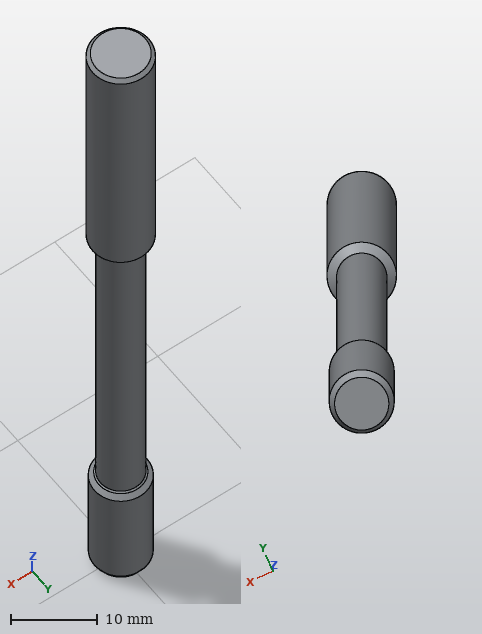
import cadquery as cq
import math

TOTAL_LENGTH = 100.0

SHANK_DIAMETER = 8.0
SHANK_BOTTOM = 63.97
SHANK_TOP_CHAMFER = 0.5
SHOULDER_HEIGHT = 0.82

NECK_DIAMETER = 5.8
NECK_FOOT_HEIGHT = 0.19

HEAD_DIAMETER = 7.5
HEAD_LENGTH = 16.64
HEAD_END_DIAMETER = 6.24
HEAD_TIP_ANGLE = 30.0

shank_radius = SHANK_DIAMETER / 2
neck_radius = NECK_DIAMETER / 2
head_radius = HEAD_DIAMETER / 2
head_end_radius = HEAD_END_DIAMETER / 2

head_top_chamfer = head_radius - head_end_radius
head_tip_height = head_top_chamfer / math.tan(math.radians(HEAD_TIP_ANGLE))


def revolve_about_axis(outline):
    """Close an outline of (radius, height) points along the Z axis and turn it into a solid."""
    bottom = outline[0][1]
    top = outline[-1][1]
    return (
        cq.Workplane("XZ")
        .polyline([(0, bottom), *outline, (0, top)])
        .close()
        .revolve(360, (0, 0, 0), (0, 1, 0))
    )


def make_shank():
    """Chamfered shank with a tapered shoulder, a slim neck and a neck foot flared to meet the head."""
    return revolve_about_axis([
        (head_end_radius, HEAD_LENGTH),
        (neck_radius, HEAD_LENGTH + NECK_FOOT_HEIGHT),
        (neck_radius, SHANK_BOTTOM - SHOULDER_HEIGHT),
        (shank_radius, SHANK_BOTTOM),
        (shank_radius, TOTAL_LENGTH - SHANK_TOP_CHAMFER),
        (shank_radius - SHANK_TOP_CHAMFER, TOTAL_LENGTH),
    ])


def make_head():
    """Cylindrical head with a conical tip and a chamfered top on which the neck stands."""
    return revolve_about_axis([
        (head_end_radius, 0),
        (head_radius, head_tip_height),
        (head_radius, HEAD_LENGTH - head_top_chamfer),
        (head_end_radius, HEAD_LENGTH),
    ])


shank = make_shank()
head = make_head()

result = cq.Compound.makeCompound([shank.val(), head.val()])